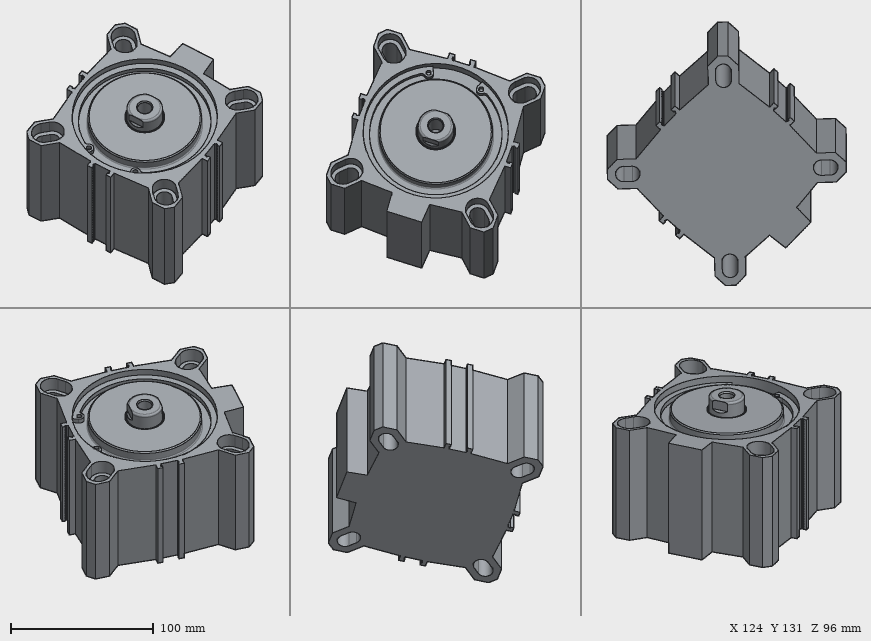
import cadquery as cq
import math

HOUSING_HEIGHT = 86.1
WIDTH = 124.0
HALF_WIDTH = WIDTH / 2
POST_FACE_START = 46.6
POST_CHAMFER = 5.1
DIAGONAL_DROP = 9.4
WALL_MIDDLE = 54.6
WALL_OVERLAP = 0.7
ATTACHMENT = WALL_MIDDLE - WALL_OVERLAP

OVERALL_LENGTH = 131
BLOCK_END = OVERALL_LENGTH - HALF_WIDTH
BLOCK_TIP_HALF_WIDTH = 13.0
BLOCK_ROOT_HALF_WIDTH = 14.0

RAIL_OUTER = 9.8
RAIL_ROOT_INNER = 6.2
RAIL_LIP_INNER = 5.9
RAIL_NOTCH_INNER = 6.7
RAIL_NOTCH_START = 55.7
RAIL_LIP_START = 56.7
RAIL_TIP = 59.1

SLOT_POSITION = 49.3
SLOT_STRETCH = 6.0
SLOT_WIDTH = 11.1
SLOT_SEAT_WIDTH = 17
SLOT_SEAT_DEPTH = 10.5

BORE_DIAMETER = 102.2
RING_RECESS = 5.0
RING_THICKNESS = 3.5
FLANGE_THICKNESS = 13.1
RING_TOP = HOUSING_HEIGHT - RING_RECESS
FLANGE_TOP = RING_TOP - RING_THICKNESS
BORE_FLOOR = FLANGE_TOP - FLANGE_THICKNESS

RING_INNER_DIAMETER = 93.3
EAR_X = 19.5
EAR_Y = -42.0
EAR_RADIUS = 3.4
EAR_HOLE_DIAMETER = 3.5
EAR_BLEND = 2.6

BOSS_DIAMETER = 80.0
BOSS_RECESS = 0.9
BOSS_TOP = HOUSING_HEIGHT - BOSS_RECESS
BOSS_CHAMFER = 0.9
BOSS_FOOT_FILLET = 0.8
ROD_BORE_DIAMETER = 25.5
ROD_BORE_STEP_DIAMETER = 26.9
ROD_BORE_STEP_DEPTH = 0.8
ROD_BORE_MOUTH_DIAMETER = 28.0
ROD_BORE_MOUTH_DEPTH = 0.4

ROD_DIAMETER = 25.0
ROD_TOP = 96.0
ROD_FILLET = 1.6
FLATS_WIDTH = 22.1
FLATS_LENGTH = 7.0
THREAD_DIAMETER = 10.1
THREAD_MOUTH_DIAMETER = 11.4
THREAD_DEPTH = 19.6
COUNTERSINK_ANGLE = 60
DRILL_TIP_ANGLE = 118


def make_housing_core():
    """Prism with four chamfered corner posts joined by slightly bowed walls."""
    diagonal_end = POST_FACE_START - DIAGONAL_DROP
    wall_end = HALF_WIDTH - DIAGONAL_DROP
    post_end = HALF_WIDTH - POST_CHAMFER
    quarter = [
        (-RAIL_OUTER, WALL_MIDDLE),
        (RAIL_OUTER, WALL_MIDDLE),
        (diagonal_end, wall_end),
        (POST_FACE_START, HALF_WIDTH),
        (post_end, HALF_WIDTH),
        (HALF_WIDTH, post_end),
        (HALF_WIDTH, POST_FACE_START),
        (wall_end, diagonal_end),
    ]
    outline = list(quarter)
    outline += [(y, -x) for x, y in quarter]
    outline += [(-x, -y) for x, y in quarter]
    outline += [(-y, x) for x, y in quarter]
    return cq.Workplane("XY").polyline(outline).close().extrude(HOUSING_HEIGHT)


def make_port_block():
    return (
        cq.Workplane("XY")
        .polyline([
            (-BLOCK_ROOT_HALF_WIDTH, ATTACHMENT),
            (-BLOCK_TIP_HALF_WIDTH, BLOCK_END),
            (BLOCK_TIP_HALF_WIDTH, BLOCK_END),
            (BLOCK_ROOT_HALF_WIDTH, ATTACHMENT),
        ])
        .close()
        .extrude(HOUSING_HEIGHT)
    )


def make_rail_pair():
    rail = (
        cq.Workplane("XY")
        .polyline([
            (RAIL_OUTER, -ATTACHMENT),
            (RAIL_OUTER, -RAIL_TIP),
            (RAIL_LIP_INNER, -RAIL_TIP),
            (RAIL_LIP_INNER, -RAIL_LIP_START),
            (RAIL_NOTCH_INNER, -RAIL_LIP_START),
            (RAIL_NOTCH_INNER, -RAIL_NOTCH_START),
            (RAIL_ROOT_INNER, -RAIL_NOTCH_START),
            (RAIL_ROOT_INNER, -ATTACHMENT),
        ])
        .close()
        .extrude(HOUSING_HEIGHT)
    )
    return rail.union(rail.mirror("YZ"))


def cut_mounting_slot(body, turn):
    angle = 45 + turn
    reach = SLOT_POSITION * math.sqrt(2)
    place = (reach * math.cos(math.radians(angle)), reach * math.sin(math.radians(angle)))

    def slot(width, bottom):
        return (
            cq.Workplane("XY", origin=(0, 0, bottom))
            .center(*place)
            .slot2D(SLOT_STRETCH + width, width, angle)
            .extrude(HOUSING_HEIGHT)
        )

    return body.cut(slot(SLOT_WIDTH, 0)).cut(slot(SLOT_SEAT_WIDTH, HOUSING_HEIGHT - SLOT_SEAT_DEPTH))


def make_housing():
    body = make_housing_core().union(make_port_block())
    rails = make_rail_pair()
    for turn in (-90, 0, 90):
        body = body.union(rails.rotate((0, 0, 0), (0, 0, 1), turn))
    for turn in (0, 90, 180, 270):
        body = cut_mounting_slot(body, turn)
    bore = (
        cq.Workplane("XY", origin=(0, 0, BORE_FLOOR))
        .circle(BORE_DIAMETER / 2)
        .extrude(HOUSING_HEIGHT)
    )
    return body.cut(bore)


def make_retaining_ring():
    base = cq.Workplane("XY", origin=(0, 0, FLANGE_TOP))
    outer_radius = BORE_DIAMETER / 2
    inner_radius = RING_INNER_DIAMETER / 2
    disc = base.circle(outer_radius).extrude(RING_THICKNESS)
    ring = disc.cut(base.circle(inner_radius).extrude(RING_THICKNESS))

    far = 2 * outer_radius / math.hypot(EAR_X, EAR_Y)
    gap = (
        base.polyline([(0, 0), (EAR_X * far, EAR_Y * far), (-EAR_X * far, EAR_Y * far)])
        .close()
        .extrude(RING_THICKNESS)
    )
    ring = ring.cut(gap)

    ear_reach = math.hypot(EAR_X, EAR_Y)
    for side in (-1, 1):
        ear_angle = math.degrees(math.atan2(EAR_Y, side * EAR_X))
        root = (
            base.center(ear_reach + outer_radius / 2, 0)
            .rect(outer_radius, 2 * EAR_RADIUS)
            .extrude(RING_THICKNESS)
            .rotate((0, 0, 0), (0, 0, 1), ear_angle)
            .intersect(disc)
        )
        eye = base.center(side * EAR_X, EAR_Y).circle(EAR_RADIUS).extrude(RING_THICKNESS)
        ring = ring.union(root).union(eye)

    cos_spread = (inner_radius**2 + ear_reach**2 - EAR_RADIUS**2) / (2 * inner_radius * ear_reach)
    corner_angle = math.atan2(EAR_Y, EAR_X) + math.acos(cos_spread)
    corner_x = inner_radius * math.cos(corner_angle)
    corner_y = inner_radius * math.sin(corner_angle)
    for side in (-1, 1):
        corner = (side * corner_x, corner_y, FLANGE_TOP + RING_THICKNESS / 2)
        ring = ring.edges(cq.selectors.NearestToPointSelector(corner)).fillet(EAR_BLEND)

    holes = (
        base.pushPoints([(-EAR_X, EAR_Y), (EAR_X, EAR_Y)])
        .circle(EAR_HOLE_DIAMETER / 2)
        .extrude(RING_THICKNESS)
    )
    return ring.cut(holes)


def make_cover():
    bore_radius = BORE_DIAMETER / 2
    boss_radius = BOSS_DIAMETER / 2
    rod_bore_radius = ROD_BORE_DIAMETER / 2
    step_radius = ROD_BORE_STEP_DIAMETER / 2
    mouth_radius = ROD_BORE_MOUTH_DIAMETER / 2
    foot_corner = (boss_radius + BOSS_FOOT_FILLET, FLANGE_TOP)
    fillet_top = (boss_radius, FLANGE_TOP + BOSS_FOOT_FILLET)
    return (
        cq.Workplane("XZ")
        .moveTo(rod_bore_radius, BORE_FLOOR)
        .lineTo(bore_radius, BORE_FLOOR)
        .lineTo(bore_radius, FLANGE_TOP)
        .lineTo(*foot_corner)
        .radiusArc(fillet_top, BOSS_FOOT_FILLET)
        .lineTo(boss_radius, BOSS_TOP - BOSS_CHAMFER)
        .lineTo(boss_radius - BOSS_CHAMFER, BOSS_TOP)
        .lineTo(mouth_radius, BOSS_TOP)
        .lineTo(mouth_radius, BOSS_TOP - ROD_BORE_MOUTH_DEPTH)
        .lineTo(step_radius, BOSS_TOP - ROD_BORE_MOUTH_DEPTH)
        .lineTo(step_radius, BOSS_TOP - ROD_BORE_STEP_DEPTH)
        .lineTo(rod_bore_radius, BOSS_TOP - ROD_BORE_STEP_DEPTH)
        .close()
        .revolve(360, (0, 0), (0, 1))
    )


def make_rod():
    rod = (
        cq.Workplane("XY", origin=(0, 0, BORE_FLOOR))
        .circle(ROD_DIAMETER / 2)
        .extrude(ROD_TOP - BORE_FLOOR)
        .faces(">Z").edges().fillet(ROD_FILLET)
    )

    flat = FLATS_WIDTH / 2
    flats_bottom = ROD_TOP - FLATS_LENGTH
    step_bottom = flats_bottom - (ROD_DIAMETER / 2 - flat)
    flat_cut = (
        cq.Workplane("YZ")
        .polyline([
            (flat, ROD_TOP),
            (flat, flats_bottom),
            (ROD_DIAMETER / 2, step_bottom),
            (ROD_DIAMETER, step_bottom),
            (ROD_DIAMETER, ROD_TOP),
        ])
        .close()
        .extrude(ROD_DIAMETER, both=True)
    )
    rod = rod.cut(flat_cut).cut(flat_cut.mirror("XZ"))

    thread_radius = THREAD_DIAMETER / 2
    mouth_radius = THREAD_MOUTH_DIAMETER / 2
    hole_bottom = ROD_TOP - THREAD_DEPTH
    countersink_depth = (mouth_radius - thread_radius) / math.tan(math.radians(COUNTERSINK_ANGLE / 2))
    tip_length = thread_radius / math.tan(math.radians(DRILL_TIP_ANGLE / 2))
    hole = (
        cq.Workplane("XZ")
        .polyline([
            (0, ROD_TOP),
            (mouth_radius, ROD_TOP),
            (thread_radius, ROD_TOP - countersink_depth),
            (thread_radius, hole_bottom),
            (0, hole_bottom - tip_length),
        ])
        .close()
        .revolve(360, (0, 0), (0, 1))
    )
    return rod.cut(hole)


housing = make_housing()
retaining_ring = make_retaining_ring()
cover = make_cover()
rod = make_rod()

result = cq.Compound.makeCompound([housing.val(), retaining_ring.val(), cover.val(), rod.val()])